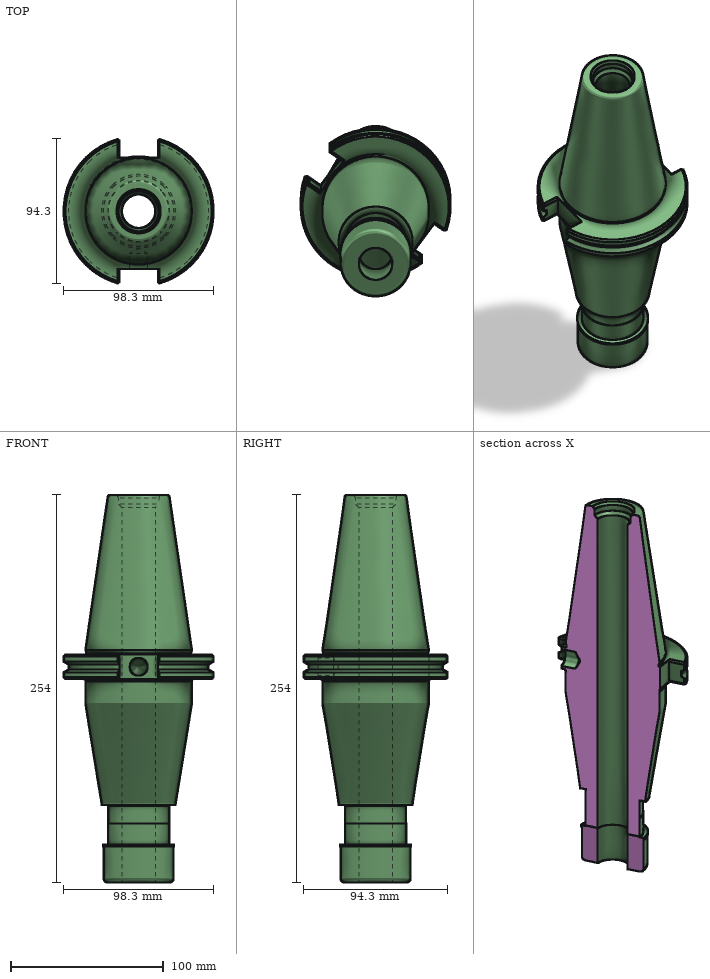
import cadquery as cq
import math


gauge_diameter = 69.8
taper_length = 101.5
taper_ratio = 7 / 24
taper_tip_round = 2.0

flange_diameter = 98.3
flange_top = -3.0
flange_bottom = -19.0
flange_chamfer = 1.3
relief_depth = 0.8

groove_middle = -11.2
groove_mouth = 7.0
groove_floor = 3.3
groove_flank_angle = 30

slot_width = 25.1
front_slot_reach = 37.8
back_slot_reach = 35.0

drill_diameter = 11.7
drill_depth = 10.2
drill_point_angle = 118

neck_relief_depth = 0.3
neck_relief_end = -20.8
neck_fillet = 1.3
cylinder_end = -35.0
shoulder = -101.5
shoulder_diameter = 48.5
shoulder_rim_height = 0.8
stem_relief_depth = 0.3
stem_relief_height = 0.8
stem_diameter = 40.1
thread_start = -113.8
thread_diameter = 40.5

bore_diameter = 21.8
counterbore_diameter = 26.5
mouth_diameter = 29.0
mouth_chamfer_height = 2.0
counterbore_depth = 6.0

nut_top = -127.5
nut_bottom = -152.5
nut_diameter = 46.0
nut_rim_diameter = 46.5
nut_rim_height = 1.3
nut_bottom_round = 3.0

gauge_radius = gauge_diameter / 2
taper_tip_radius = (gauge_diameter - taper_ratio * taper_length) / 2
flange_radius = flange_diameter / 2
flange_thickness = flange_top - flange_bottom


def make_taper():
    relief_radius = gauge_radius - relief_depth
    profile = (
        cq.Workplane("XZ")
        .moveTo(0, flange_top)
        .lineTo(gauge_radius, flange_top)
        .radiusArc((relief_radius, flange_top + relief_depth), relief_depth)
        .lineTo(gauge_radius, 0)
        .lineTo(taper_tip_radius, taper_length)
        .lineTo(0, taper_length)
        .close()
    )
    taper = profile.revolve(360, (0, 0, 0), (0, 1, 0))
    return taper.faces(">Z").edges().fillet(taper_tip_round)


def make_flange():
    disc = cq.Workplane("XY").workplane(offset=flange_bottom).circle(flange_radius).extrude(flange_thickness)
    channel = (
        cq.Workplane("XY")
        .workplane(offset=flange_bottom)
        .rect(slot_width, flange_diameter)
        .extrude(flange_thickness)
    )
    segments = disc.cut(channel).edges().chamfer(flange_chamfer)

    block_length = front_slot_reach + back_slot_reach
    block = (
        cq.Workplane("XY")
        .workplane(offset=flange_bottom)
        .center(0, (back_slot_reach - front_slot_reach) / 2)
        .rect(slot_width + 2 * flange_chamfer, block_length)
        .extrude(flange_thickness)
    )
    return segments.union(block)


def make_v_groove():
    flank_height = (groove_mouth - groove_floor) / 2
    depth = flank_height / math.tan(math.radians(groove_flank_angle))
    floor_radius = flange_radius - depth
    clearance_radius = flange_radius + depth
    return (
        cq.Workplane("XZ")
        .polyline([
            (floor_radius, groove_middle - groove_floor / 2),
            (flange_radius, groove_middle - groove_mouth / 2),
            (clearance_radius, groove_middle - groove_mouth / 2),
            (clearance_radius, groove_middle + groove_mouth / 2),
            (flange_radius, groove_middle + groove_mouth / 2),
            (floor_radius, groove_middle + groove_floor / 2),
        ])
        .close()
        .revolve(360, (0, 0, 0), (0, 1, 0))
    )


def make_drilled_hole():
    drill_radius = drill_diameter / 2
    point_length = drill_radius / math.tan(math.radians(drill_point_angle / 2))
    hole_middle = (flange_top + flange_bottom) / 2
    floor_y = -front_slot_reach
    return (
        cq.Workplane("XY")
        .workplane(offset=hole_middle)
        .polyline([
            (0, floor_y),
            (drill_radius, floor_y),
            (drill_radius, floor_y + drill_depth),
            (0, floor_y + drill_depth + point_length),
        ])
        .close()
        .revolve(360, (0, 0, 0), (0, 1, 0))
    )


def make_lower_body():
    relief_radius = gauge_radius - neck_relief_depth
    profile = (
        cq.Workplane("XZ")
        .moveTo(0, flange_bottom)
        .lineTo(relief_radius + neck_fillet, flange_bottom)
        .radiusArc((relief_radius, flange_bottom - neck_fillet), -neck_fillet)
        .lineTo(gauge_radius, neck_relief_end)
        .lineTo(gauge_radius, cylinder_end)
        .lineTo(shoulder_diameter / 2, shoulder + shoulder_rim_height)
        .lineTo(shoulder_diameter / 2, shoulder)
        .lineTo(stem_diameter / 2 - stem_relief_depth, shoulder)
        .lineTo(stem_diameter / 2, shoulder - stem_relief_height)
        .lineTo(stem_diameter / 2, thread_start)
        .lineTo(thread_diameter / 2, thread_start)
        .lineTo(thread_diameter / 2, nut_top)
        .lineTo(0, nut_top)
        .close()
    )
    return profile.revolve(360, (0, 0, 0), (0, 1, 0))


def make_bore():
    bore_radius = bore_diameter / 2
    counterbore_radius = counterbore_diameter / 2
    counterbore_end = taper_length - counterbore_depth
    cone_end = counterbore_end - (counterbore_radius - bore_radius)
    return (
        cq.Workplane("XZ")
        .polyline([
            (0, nut_top),
            (bore_radius, nut_top),
            (bore_radius, cone_end),
            (counterbore_radius, counterbore_end),
            (counterbore_radius, taper_length - mouth_chamfer_height),
            (mouth_diameter / 2, taper_length),
            (0, taper_length),
        ])
        .close()
        .revolve(360, (0, 0, 0), (0, 1, 0))
    )


def make_holder():
    holder = make_flange().union(make_taper()).union(make_lower_body())
    return holder.cut(make_v_groove()).cut(make_drilled_hole()).cut(make_bore())


def make_nut():
    profile = (
        cq.Workplane("XZ")
        .polyline([
            (bore_diameter / 2, nut_bottom),
            (nut_diameter / 2, nut_bottom),
            (nut_diameter / 2, nut_top - nut_rim_height),
            (nut_rim_diameter / 2, nut_top - nut_rim_height),
            (nut_rim_diameter / 2, nut_top),
            (bore_diameter / 2, nut_top),
        ])
        .close()
    )
    nut = profile.revolve(360, (0, 0, 0), (0, 1, 0))
    largest_circle = cq.selectors.RadiusNthSelector(-1)
    return nut.faces("<Z").edges(largest_circle).fillet(nut_bottom_round)


holder = make_holder()
nut = make_nut()
result = cq.Compound.makeCompound([holder.val(), nut.val()])